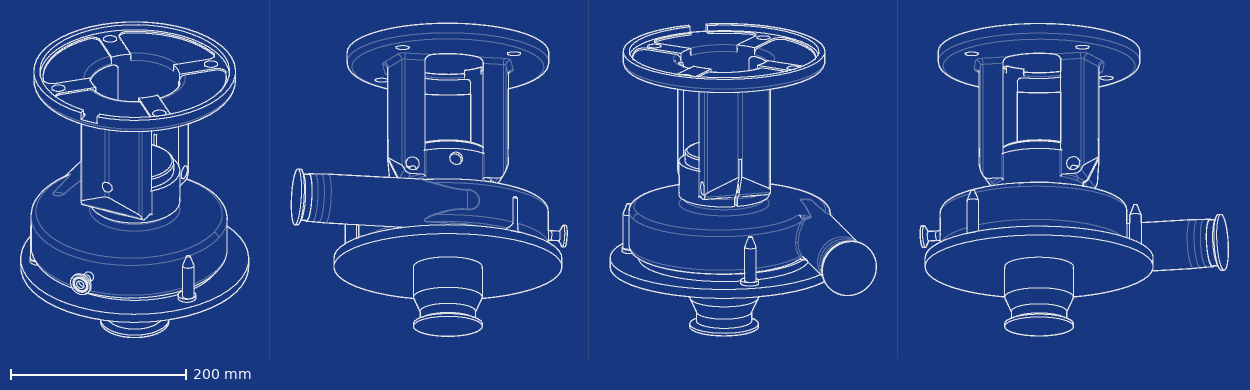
import cadquery as cq
import math


ZONE_MARGIN = 0.3

FLANGE_TOP = 326.5
FLANGE_R = 115.0
FLANGE_THICK = 17.0
FLANGE_EDGE_R = 5.5
REGISTER_R = 108.0
REGISTER_DEPTH = 6.5
POCKET_R = 104.5
POCKET_DEPTH = 8.5
POCKET_CORNER_R = 10.0
ARM_WIDTH = 23.0
BORE_R = 51.5
BORE_ROUND_R = 6.3
BOLT_CIRCLE_R = 91.3
BOLT_HOLE_R = 7.5
NOTCH_WIDTH = 20.5
FLANGE_BOTTOM = FLANGE_TOP - FLANGE_THICK
POCKET_FLOOR = FLANGE_TOP - POCKET_DEPTH

LEG_HALF_WIDTH = 39.0
LEG_TIP_Y = 69.5
LEG_TIP_HALF_WIDTH = 2.5
LEG_SIDE_Y = 59.7
LEG_INNER_Y = 26.5
LEG_BOTTOM = 167.8
LEG_SLOPE_TOP = 196.2
LEG_SLOPE_END_Y = 59.0
LEG_SLOPE_END_Z = 175.5
LEG_EDGE_R = 3.3
LEG_TOE_R = 8.0
LEG_ROOT_R = 5.5
LEG_COLLAR_R = 2.5
PEEP_HOLE_R = 6.3
CLAMP_HOLE_R = 7.5
CLAMP_HOLE_Y = 48.0
CLAMP_HOLE_Z = 180.0
SLIT_WIDTH = 3.3
SLIT_TOP = 217.5

COLLAR_R = BORE_R
COLLAR_TOP = 196.5
COLLAR_BOTTOM = 156.5
CAP_R = 44.5
CAP_TOP = 209.5
CAP_CHAMFER = 2.0
COLLAR_HOLE_R = 7.3
COLLAR_HOLE_Z = 185.0
NECK_R = 45.8
NECK_ROOT_R = 5.5

CASING_BOTTOM = 90.0
CASING_MID = 115.0
VOLUTE_START_ANGLE = 142.0
VOLUTE_START_R = 97.3
VOLUTE_GROWTH = 25.7
VOLUTE_STEPS = 24
CASING_EDGE_R = 6.3
COVER_INNER_Z = 146.0
COVER_OUTER_R = 148.5
COVER_OUTER_Z = 137.8

PLATE_R = 130.07
PLATE_TOP = 81.5
PLATE_BOTTOM = 71.0
RING_R = 97.5

STUD_ANGLES = (90, 210, 330)
STUD_CIRCLE_R = 112.5
STUD_R = 6.5
STUD_SHOULDER_Z = 125.3
STUD_TOP = 137.5
STUD_TIP_R = 2.0
FOOT_CIRCLE_R = 109.5
FOOT_R = 10.2
FOOT_TOP = 85.5

INLET_R = 39.2
INLET_CONE_TOP = 34.5
INLET_CONE_BOTTOM = 17.8
INLET_TUBE_R = 31.5
INLET_FLARE_TOP = 7.0
FERRULE_RIM = 3.3

PIPE_X = -94.8
PIPE_R = 28.0
PIPE_BLEND_R = 1.5
PIPE_END = 193.5
PIPE_TAPER_START = 158.3
PIPE_TAPER_END = 166.2
PIPE_TAPER_R = 27.7
PIPE_SLEEVE_START = 173.5
PIPE_SLEEVE_END = 180.5
PIPE_SLEEVE_R = 27.5
PIPE_TUBE_R = 26.5
PIPE_FERRULE_R = 32.0
PIPE_FLARE = 6.0

DRAIN_END = 136.2
DRAIN_TUBE_R = 5.5
DRAIN_FERRULE_R = 12.5
DRAIN_RIM = 3.0
DRAIN_FLARE = 7.0
DRAIN_BORE_R = 4.5
DRAIN_BORE_DEPTH = 16.5
DRAIN_GROOVE_INNER_R = 8.0
DRAIN_GROOVE_OUTER_R = 9.5
DRAIN_GROOVE_DEPTH = 1.0


def disc(radius, bottom, top):
    return cq.Workplane("XY").workplane(offset=bottom).circle(radius).extrude(top - bottom)


def box_between(x0, x1, y0, y1, z0, z1):
    return cq.Workplane("XY").box(x1 - x0, y1 - y0, z1 - z0, centered=False).translate((x0, y0, z0))


def turned_along_y(profile, x, z):
    """Turn (radius, y) points into a solid about the line parallel to Y through (x, z)."""
    solid = cq.Workplane("XY").polyline(profile).close().revolve(360, (0, 0, 0), (0, 1, 0))
    return solid.translate((x, 0, z))


def cross_rod(radius, x0, x1, y, z):
    return cq.Workplane("YZ").workplane(offset=x0).center(y, z).circle(radius).extrude(x1 - x0)


def make_flange():
    flange = disc(FLANGE_R, FLANGE_BOTTOM, FLANGE_TOP).faces("<Z").edges().fillet(FLANGE_EDGE_R)
    flange = flange.cut(disc(REGISTER_R, FLANGE_TOP - REGISTER_DEPTH, FLANGE_TOP))
    pockets = disc(POCKET_R, POCKET_FLOOR, FLANGE_TOP)
    for angle in (45, 135):
        arm = cq.Workplane("XY").box(2 * FLANGE_R, ARM_WIDTH, 2 * FLANGE_TOP)
        pockets = pockets.cut(arm.rotate((0, 0, 0), (0, 0, 1), angle))
    inner_corners = cq.selectors.BoxSelector(
        (-BORE_R, -BORE_R, 0), (BORE_R, BORE_R, 2 * FLANGE_TOP))
    pockets = pockets.edges(cq.StringSyntaxSelector("|Z") - inner_corners).fillet(POCKET_CORNER_R)
    flange = flange.cut(pockets)
    flange = flange.cut(disc(BORE_R, FLANGE_BOTTOM, FLANGE_TOP))
    mouth_r = BORE_R + BORE_ROUND_R
    mouth_bottom = POCKET_FLOOR - BORE_ROUND_R
    mouth = (
        cq.Workplane("XZ")
        .moveTo(0, mouth_bottom)
        .lineTo(BORE_R, mouth_bottom)
        .radiusArc((mouth_r, POCKET_FLOOR), BORE_ROUND_R)
        .lineTo(0, POCKET_FLOOR)
        .close()
        .revolve(360, (0, 0, 0), (0, 1, 0))
    )
    for angle in (45, 135):
        arm = cq.Workplane("XY").box(2 * FLANGE_R, ARM_WIDTH, 2 * FLANGE_TOP)
        mouth = mouth.cut(arm.rotate((0, 0, 0), (0, 0, 1), angle))
    flange = flange.cut(mouth)
    half_notch = NOTCH_WIDTH / 2
    flange = flange.cut(
        box_between(-half_notch, half_notch, -FLANGE_R, -POCKET_R + 3.3, POCKET_FLOOR, FLANGE_TOP))
    holes = (
        cq.Workplane("XY")
        .workplane(offset=FLANGE_BOTTOM)
        .polarArray(BOLT_CIRCLE_R, 45, 360, 4)
        .circle(BOLT_HOLE_R)
        .extrude(FLANGE_THICK)
    )
    return flange.cut(holes)


def make_leg():
    """Leg on the +Y side: V-shaped outside, cylindrical inside, sloped and rounded at the toe."""
    section = [
        (-LEG_HALF_WIDTH, LEG_INNER_Y),
        (LEG_HALF_WIDTH, LEG_INNER_Y),
        (LEG_HALF_WIDTH, LEG_SIDE_Y),
        (LEG_TIP_HALF_WIDTH, LEG_TIP_Y),
        (-LEG_TIP_HALF_WIDTH, LEG_TIP_Y),
        (-LEG_HALF_WIDTH, LEG_SIDE_Y),
    ]
    leg = (
        cq.Workplane("XY")
        .workplane(offset=LEG_BOTTOM)
        .polyline(section)
        .close()
        .extrude(FLANGE_BOTTOM - LEG_BOTTOM)
    )
    side_corners = cq.selectors.BoxSelector(
        (-2 * LEG_HALF_WIDTH, LEG_SIDE_Y - 3.3, 0), (2 * LEG_HALF_WIDTH, LEG_SIDE_Y + 3.3, FLANGE_TOP))
    leg = leg.edges(cq.StringSyntaxSelector("|Z") & side_corners).fillet(LEG_EDGE_R)
    toe_y = LEG_SLOPE_END_Y - (LEG_SLOPE_END_Z - LEG_BOTTOM) * (
        (LEG_TIP_Y - LEG_SLOPE_END_Y) / (LEG_SLOPE_TOP - LEG_SLOPE_END_Z))
    outline = (
        cq.Workplane("YZ")
        .workplane(offset=-LEG_HALF_WIDTH)
        .polyline([
            (LEG_INNER_Y, LEG_BOTTOM),
            (toe_y, LEG_BOTTOM),
            (LEG_TIP_Y, LEG_SLOPE_TOP),
            (LEG_TIP_Y, FLANGE_BOTTOM),
            (LEG_INNER_Y, FLANGE_BOTTOM),
        ])
        .close()
        .extrude(2 * LEG_HALF_WIDTH)
    )
    toe = cq.selectors.NearestToPointSelector((0, toe_y, LEG_BOTTOM))
    leg = leg.intersect(outline.edges(toe).fillet(LEG_TOE_R))
    return leg.cut(disc(BORE_R, COLLAR_TOP, FLANGE_BOTTOM))


def leg_zone(reach_y, height):
    """Selector for edges centred at one height within the plan area of the two legs."""
    reach_x = LEG_HALF_WIDTH + ZONE_MARGIN
    return cq.selectors.BoxSelector(
        (-reach_x, -reach_y - ZONE_MARGIN, height - ZONE_MARGIN),
        (reach_x, reach_y + ZONE_MARGIN, height + ZONE_MARGIN))


def make_motor_support():
    """Flange, both legs and the split collar around the seal cap."""
    leg = make_leg()
    support = make_flange().union(leg).union(leg.mirror("XZ"))
    support = support.edges(leg_zone(LEG_TIP_Y, FLANGE_BOTTOM)).fillet(LEG_ROOT_R)

    support = support.union(disc(COLLAR_R, COLLAR_BOTTOM, COLLAR_TOP))
    upright = leg_zone(COLLAR_R, (LEG_BOTTOM + COLLAR_TOP) / 2) & cq.StringSyntaxSelector("|Z")
    under = leg_zone(COLLAR_R, LEG_BOTTOM) - cq.StringSyntaxSelector("%LINE")
    support = support.edges(upright + under).fillet(LEG_COLLAR_R)
    support = support.cut(disc(CAP_R, COLLAR_BOTTOM, COLLAR_TOP))

    half_slit = SLIT_WIDTH / 2
    slit = box_between(-half_slit, half_slit, 0, LEG_TIP_Y, COLLAR_BOTTOM, SLIT_TOP)
    clamp_hole = cross_rod(
        CLAMP_HOLE_R, -LEG_HALF_WIDTH, LEG_HALF_WIDTH, CLAMP_HOLE_Y, CLAMP_HOLE_Z)
    collar_hole = cross_rod(COLLAR_HOLE_R, -COLLAR_R, 0, 0, COLLAR_HOLE_Z)
    peep_hole = cq.Workplane("XZ").center(0, CAP_TOP).circle(PEEP_HOLE_R).extrude(LEG_TIP_Y)
    return support.cut(slit).cut(clamp_hole).cut(collar_hole).cut(peep_hole)


def make_cap():
    cap = disc(CAP_R, COLLAR_BOTTOM, CAP_TOP)
    return cap.faces(">Z").edges().chamfer(CAP_CHAMFER)


def volute_point(turn):
    """Point on the volute wall; turn goes 0 to 1 clockwise from the tongue."""
    angle = math.radians(VOLUTE_START_ANGLE - 360 * turn)
    radius = VOLUTE_START_R + VOLUTE_GROWTH * turn
    return (radius * math.cos(angle), radius * math.sin(angle))


def make_casing():
    """Spiral casing with a conical cover and the neck that carries the collar."""
    spiral = [volute_point(step / VOLUTE_STEPS) for step in range(VOLUTE_STEPS + 1)]
    casing = (
        cq.Workplane("XY")
        .workplane(offset=CASING_BOTTOM)
        .spline(spiral)
        .close()
        .extrude(COLLAR_BOTTOM - CASING_BOTTOM)
    )
    neck_root = NECK_R + NECK_ROOT_R
    envelope = (
        cq.Workplane("XZ")
        .polyline([
            (0, CASING_BOTTOM),
            (COVER_OUTER_R, CASING_BOTTOM),
            (COVER_OUTER_R, COVER_OUTER_Z),
            (neck_root, COVER_INNER_Z),
            (0, COVER_INNER_Z),
        ])
        .close()
        .revolve(360, (0, 0, 0), (0, 1, 0))
    )
    casing = casing.intersect(envelope)
    casing = casing.edges("%BSPLINE").fillet(CASING_EDGE_R)
    neck = (
        cq.Workplane("XZ")
        .moveTo(0, CASING_MID)
        .lineTo(neck_root, CASING_MID)
        .lineTo(neck_root, COVER_INNER_Z)
        .radiusArc((NECK_R, COVER_INNER_Z + NECK_ROOT_R), NECK_ROOT_R)
        .lineTo(NECK_R, COLLAR_BOTTOM)
        .lineTo(0, COLLAR_BOTTOM)
        .close()
        .revolve(360, (0, 0, 0), (0, 1, 0))
    )
    return casing.union(neck)


def make_base():
    """Base plate with the suction inlet below and the spacer ring above."""
    profile = [
        (0, 0),
        (INLET_R, 0),
        (INLET_R, FERRULE_RIM),
        (INLET_TUBE_R, INLET_FLARE_TOP),
        (INLET_TUBE_R, INLET_CONE_BOTTOM),
        (INLET_R, INLET_CONE_TOP),
        (INLET_R, PLATE_BOTTOM),
        (PLATE_R, PLATE_BOTTOM),
        (PLATE_R, PLATE_TOP),
        (RING_R, PLATE_TOP),
        (RING_R, CASING_BOTTOM),
        (0, CASING_BOTTOM),
    ]
    return cq.Workplane("XZ").polyline(profile).close().revolve(360, (0, 0, 0), (0, 1, 0))


def make_stud(angle):
    """Upright stud with a coned tip, standing on a round foot."""
    cone_height = STUD_TOP - STUD_SHOULDER_Z
    stud = disc(STUD_R, PLATE_TOP, STUD_TOP)
    stud = stud.faces(">Z").edges().chamfer(cone_height, STUD_R - STUD_TIP_R)
    stud = stud.translate((STUD_CIRCLE_R, 0, 0))
    foot = disc(FOOT_R, PLATE_TOP, FOOT_TOP).translate((FOOT_CIRCLE_R, 0, 0))
    return stud.union(foot).rotate((0, 0, 0), (0, 0, 1), angle)


def make_discharge():
    """Discharge pipe along +Y, closed by a spherical end where it leaves the volute."""
    pipe = turned_along_y([
        (0, 0),
        (PIPE_R, 0),
        (PIPE_R, PIPE_TAPER_START),
        (PIPE_TAPER_R, PIPE_TAPER_END),
        (PIPE_SLEEVE_R, PIPE_SLEEVE_START),
        (PIPE_SLEEVE_R, PIPE_SLEEVE_END),
        (PIPE_TUBE_R, PIPE_SLEEVE_END),
        (PIPE_TUBE_R, PIPE_END - PIPE_FLARE),
        (PIPE_FERRULE_R, PIPE_END - FERRULE_RIM),
        (PIPE_FERRULE_R, PIPE_END),
        (0, PIPE_END),
    ], PIPE_X, CASING_MID)
    return pipe.union(cq.Workplane("XY").sphere(PIPE_R).translate((PIPE_X, 0, CASING_MID)))


def make_drain():
    """Drain nozzle along -Y with a bore and a gasket groove in its end face."""
    drain = turned_along_y([
        (0, -RING_R),
        (DRAIN_TUBE_R, -RING_R),
        (DRAIN_TUBE_R, -DRAIN_END + DRAIN_FLARE),
        (DRAIN_FERRULE_R, -DRAIN_END + DRAIN_RIM),
        (DRAIN_FERRULE_R, -DRAIN_END),
        (0, -DRAIN_END),
    ], 0, CASING_MID)
    face = cq.Workplane("XZ").workplane(offset=DRAIN_END).center(0, CASING_MID)
    bore = face.circle(DRAIN_BORE_R).extrude(-DRAIN_BORE_DEPTH)
    groove = face.circle(DRAIN_GROOVE_OUTER_R).circle(DRAIN_GROOVE_INNER_R).extrude(-DRAIN_GROOVE_DEPTH)
    return drain.cut(bore).cut(groove)


def make_wet_end():
    """Casing and discharge pipe with a small blend where they meet outside."""
    wet_end = make_casing().union(make_discharge())
    junction = cq.selectors.BoxSelector(
        (PIPE_X - PIPE_R - 3.3, -PIPE_R, CASING_BOTTOM + ZONE_MARGIN),
        (PIPE_X + PIPE_R, VOLUTE_START_R, CASING_MID + PIPE_R - ZONE_MARGIN))
    return wet_end.edges(junction - cq.StringSyntaxSelector("%CIRCLE")).fillet(PIPE_BLEND_R)


result = make_base().union(make_wet_end()).union(make_drain())
for stud_angle in STUD_ANGLES:
    result = result.union(make_stud(stud_angle))
result = result.union(make_cap()).union(make_motor_support())